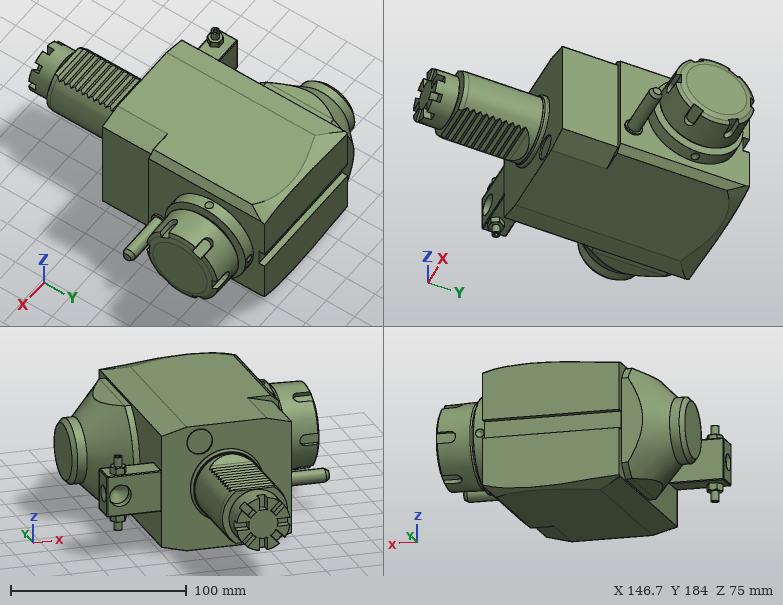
import cadquery as cq
import math


overlap = 1.8
drill_tip_angle = 118.0

body_length = 116.1
body_half_height = 37.5
side_half_height = 33.7
base_half_width = 38.8
base_flat_half_width = 24.0
head_right = 42.3
head_flat_right = 37.7
head_start = 35.0
crown_angle = 15.0
crown_points = [(-44.2, 33.1), (-24, 34.2), (-11, 35.5), (12.0, 36.6), (23.5, 36.2), (32.2, 35.3), (44.2, 32.4)]
key_width = 10.7
key_depth = 4.0
dowel_x = 16.0
dowel_z = 27.8
dowel_radius = 7.5
dowel_depth = 1.0

spindle_y = 80.0
cover_radius = 40.1
cover_rim = 3.9
cover_half_height = 32.5
cover_flat_offset = 31.5
cover_draft = 15.0
hub_radius = 19.1
hub_chamfer = 2.5
cover_left = -72.0
collar_radius = 28.2
collar_right = 50.0
collar_hole_radius = 2.5
neck_radius = 21.5
nut_left = 52.0
nut_right = 74.7
nut_radius = 25.4
nut_front_radius = 24.8
nut_slot_count = 6
nut_slot_width = 6.6
nut_slot_left = 61.6
nut_slot_floor = 21.7

pin_y = 42.9
pin_z = -17.7
pin_radius = 4.0
pin_tip_radius = 2.5
pin_right = 74.5
pin_taper = 2.4
pin_foot_radius = 5.3
pin_foot_length = 1.1

block_left = -71.2
block_y_min = 1.1
block_y_max = 16.2
block_half_height = 12.3
block_chamfer = 0.5
nozzle_x = -63.1
nozzle_radius = 6.5
nozzle_depth = 5.0
port_y = 7.5
port_radius = 4.8
fitting_x = -63.0
fitting_y = 6.3
fitting_hex_corners = 9.5
fitting_hex_chamfer = 0.5
fitting_hex_top = 16.4
fitting_radius = 2.4
fitting_top = 22.0
fitting_socket = 3.0
fitting_socket_depth = 1.8

shank_radius = 20.0
shank_end = 52.6
shank_chamfer_length = 2.8
shank_chamfer_step = 0.5
flange_radius = 21.7
flange_length = 2.2
flange_fillet = 1.1
land_radius = 20.5
land_end = 3.3
shank_flat = 15.8
lead_in_start = 4.8
groove_count = 10
groove_first = 11.5
groove_pitch = 4.0
groove_depth = 1.5
drive_neck_radius = 12.9
drive_radius = 16.0
drive_start = 54.0
drive_end = 67.9
drive_core_radius = 8.6
drive_slot_count = 8
drive_slot_width = 4.6
drive_slot_depth = 4.8


def prism_along_y(points, y_start, y_end):
    """Prism from an outline of (X, Z) points, between two Y positions."""
    return cq.Workplane("XZ", origin=(0, y_start, 0)).polyline(points).close().extrude(y_start - y_end)


def rod_x(radius, x_start, x_end, y, z):
    return cq.Workplane("YZ", origin=(x_start, y, z)).circle(radius).extrude(x_end - x_start)


def drilled_hole(radius, depth):
    """Hole going down from the origin along -Z, ending in a drill tip."""
    tip_depth = depth + radius / math.tan(math.radians(drill_tip_angle / 2))
    profile = [(0, overlap), (radius, overlap), (radius, -depth), (0, -tip_depth)]
    return cq.Workplane("XZ").polyline(profile).close().revolve(360, (0, 0, 0), (0, 1, 0))


def body_outline(right, flat_right):
    upper = [
        (-base_half_width, side_half_height),
        (-base_flat_half_width, body_half_height),
        (flat_right, body_half_height),
        (right, side_half_height),
    ]
    lower = [(x, -z) for x, z in reversed(upper)]
    return upper + lower


def crown_cutter():
    """Space above the curved crown surface, which falls towards the +Y end."""
    back = 22.0
    rise = back * math.tan(math.radians(crown_angle))
    ceiling = 55.2

    def section(y, lift):
        curve = [(x, z + lift) for x, z in crown_points]
        first_x = crown_points[0][0]
        last_x = crown_points[-1][0]
        return (
            cq.Workplane("XZ", origin=(0, y, 0))
            .moveTo(*curve[0])
            .spline(curve[1:], includeCurrent=True)
            .lineTo(last_x, ceiling)
            .lineTo(first_x, ceiling)
            .close()
            .wires()
            .val()
        )

    lower = section(body_length, 0)
    upper = section(body_length - back, rise)
    return cq.Workplane(cq.Solid.makeLoft([lower, upper], True))


def make_body():
    base = prism_along_y(body_outline(base_half_width, base_flat_half_width), 0, head_start)
    head = prism_along_y(body_outline(head_right, head_flat_right), head_start, body_length)
    body = base.union(head)

    crown = crown_cutter()
    body = body.cut(crown).cut(crown.mirror("XY"))

    key = cq.Workplane("XY").box(4 * base_half_width, 2 * key_depth, key_width)
    body = body.cut(key.translate((0, body_length, 0)))

    for side in (-1, 1):
        dowel = cq.Workplane("XZ", origin=(side * dowel_x, 0, -side * dowel_z)).circle(dowel_radius)
        body = body.cut(dowel.extrude(-dowel_depth))
    return body


def revolve_about_spindle(profile):
    """Solid of revolution from (X, radius) points about the spindle axis."""
    solid = cq.Workplane("XY").polyline(profile).close().revolve(360, (0, 0, 0), (1, 0, 0))
    return solid.translate((0, spindle_y, 0))


def make_cover():
    wall = -base_half_width
    rim = wall - cover_rim
    cone_left = rim - (cover_radius - hub_radius)
    cover = revolve_about_spindle([
        (wall + overlap, 0),
        (wall + overlap, cover_radius),
        (rim, cover_radius),
        (cone_left, hub_radius),
        (cover_left + hub_chamfer, hub_radius),
        (cover_left, hub_radius - hub_chamfer),
        (cover_left, 0),
    ])
    drop = (rim - cover_left) * math.tan(math.radians(cover_draft))
    upper = [
        (wall + overlap, cover_half_height),
        (rim, cover_half_height),
        (cover_left, cover_half_height - drop),
    ]
    lower = [(x, -z) for x, z in reversed(upper)]
    envelope = prism_along_y(upper + lower, spindle_y - cover_radius, spindle_y + cover_flat_offset)
    return cover.intersect(envelope)


def make_collar():
    collar = rod_x(collar_radius, head_right - overlap, collar_right, spindle_y, 0)
    hole_x = (head_right + collar_right) / 2
    hole_pitch = 90
    hole = drilled_hole(collar_hole_radius, 0).translate((hole_x, 0, collar_radius))
    for angle in range(0, 360, hole_pitch):
        turned = hole.rotate((0, 0, 0), (1, 0, 0), angle)
        collar = collar.cut(turned.translate((0, spindle_y, 0)))
    return collar.union(rod_x(neck_radius, collar_right - overlap, nut_left + overlap, spindle_y, 0))


def make_nut():
    edge_chamfer = 1.0
    shoulder_x = nut_right - 2.2
    face_x = nut_right - 1.0
    face_radius = 22.6
    end_radius = 19.0
    nut = revolve_about_spindle([
        (nut_left, 0),
        (nut_left, nut_radius - edge_chamfer),
        (nut_left + edge_chamfer, nut_radius),
        (shoulder_x, nut_front_radius),
        (face_x, face_radius),
        (nut_right, end_radius),
        (nut_right, 0),
    ])
    half = nut_slot_width / 2
    slot = (
        cq.Workplane("XZ")
        .moveTo(nut_right + half, half)
        .lineTo(nut_slot_left + half, half)
        .threePointArc((nut_slot_left, 0), (nut_slot_left + half, -half))
        .lineTo(nut_right + half, -half)
        .close()
        .extrude(nut_radius)
        .translate((0, -nut_slot_floor, 0))
    )
    for index in range(nut_slot_count):
        turned = slot.rotate((0, 0, 0), (1, 0, 0), index * 360 / nut_slot_count)
        nut = nut.cut(turned.translate((0, spindle_y, 0)))
    return nut


def make_pin():
    foot_right = head_right + pin_foot_length
    foot = rod_x(pin_foot_radius, head_right - overlap, foot_right, pin_y, pin_z)
    rod = rod_x(pin_radius, head_right, pin_right, pin_y, pin_z)
    rod = rod.faces(">X").chamfer(pin_taper, pin_radius - pin_tip_radius)
    return foot.union(rod)


def make_fitting():
    """Hexagon and post standing on the +Z face of the coolant block."""
    origin = (fitting_x, fitting_y, block_half_height - overlap)
    hexagon_length = fitting_hex_top - block_half_height + overlap
    post_length = fitting_top - block_half_height + overlap
    hexagon = cq.Workplane("XY", origin=origin).polygon(6, fitting_hex_corners).extrude(hexagon_length)
    rounding = cq.Workplane("XY", origin=origin).circle(fitting_hex_corners / 2).extrude(hexagon_length)
    hexagon = hexagon.intersect(rounding.faces(">Z").chamfer(fitting_hex_chamfer))
    post = cq.Workplane("XY", origin=origin).circle(fitting_radius).extrude(post_length)
    socket = (
        cq.Workplane("XY", origin=(fitting_x, fitting_y, fitting_top))
        .polygon(6, fitting_socket)
        .extrude(-fitting_socket_depth)
    )
    return hexagon.union(post).cut(socket)


def make_coolant_block():
    block_right = overlap - base_half_width
    length = block_right - block_left
    depth = block_y_max - block_y_min
    block = (
        cq.Workplane("XY")
        .box(length, depth, 2 * block_half_height)
        .translate((block_left + length / 2, block_y_min + depth / 2, 0))
        .edges("<X or |X")
        .chamfer(block_chamfer)
    )
    fitting = make_fitting()
    block = block.union(fitting).union(fitting.mirror("XY"))
    nozzle = drilled_hole(nozzle_radius, nozzle_depth).rotate((0, 0, 0), (1, 0, 0), 90)
    nozzle = nozzle.translate((nozzle_x, block_y_min, 0))
    port = drilled_hole(port_radius, 0).rotate((0, 0, 0), (0, 1, 0), -90)
    port = port.translate((block_left, port_y, 0))
    return block.cut(nozzle).cut(port)


def make_shank():
    chamfer_y = shank_chamfer_length - shank_end
    flange = cq.Workplane("XZ").circle(flange_radius).extrude(flange_length)
    flange = flange.faces("<Y").edges().fillet(flange_fillet)
    shank = (
        cq.Workplane("XY")
        .polyline([
            (0, overlap),
            (land_radius, overlap),
            (land_radius, -land_end),
            (shank_radius, -land_end),
            (shank_radius, chamfer_y),
            (shank_radius - shank_chamfer_step, -shank_end),
            (0, -shank_end),
        ])
        .close()
        .revolve(360, (0, 0, 0), (0, 1, 0))
    )
    serration = serration_cutter()
    return shank.cut(serration).cut(serration.mirror("XY")).union(flange)


def serration_cutter():
    """Flat with a 45 degree run-in and a row of V grooves, above the shank."""
    flat_start = lead_in_start + shank_radius - shank_flat
    above = 2 * shank_radius
    points = [(-lead_in_start, shank_radius), (-flat_start, shank_flat)]
    for index in range(groove_count):
        valley_y = -groove_first - index * groove_pitch
        points += [(valley_y, shank_flat - groove_depth), (valley_y - groove_pitch / 2, shank_flat)]
    points += [(-shank_end, shank_flat), (-shank_end, above), (-lead_in_start, above)]
    return cq.Workplane("YZ").polyline(points).close().extrude(shank_radius, both=True)


def make_drive_end():
    neck = cq.Workplane("XZ", origin=(0, overlap - shank_end, 0)).circle(drive_neck_radius)
    neck = neck.extrude(drive_start - shank_end + 2 * overlap)
    crown = cq.Workplane("XZ", origin=(0, -drive_start, 0)).circle(drive_radius)
    crown = crown.extrude(drive_end - drive_start)

    slot_floor = -drive_end + drive_slot_depth
    slot = cq.Workplane("XZ", origin=(drive_radius, slot_floor, 0)).rect(2 * drive_radius, drive_slot_width)
    slot = slot.extrude(drive_slot_depth)
    core = cq.Workplane("XZ", origin=(0, slot_floor, 0)).circle(drive_core_radius).extrude(drive_slot_depth)
    slot = slot.cut(core)
    for index in range(drive_slot_count):
        crown = crown.cut(slot.rotate((0, 0, 0), (0, 1, 0), index * 360 / drive_slot_count))
    return neck.union(crown)


result = (
    make_body()
    .union(make_cover())
    .union(make_collar())
    .union(make_nut())
    .union(make_pin())
    .union(make_coolant_block())
    .union(make_shank())
    .union(make_drive_end())
)